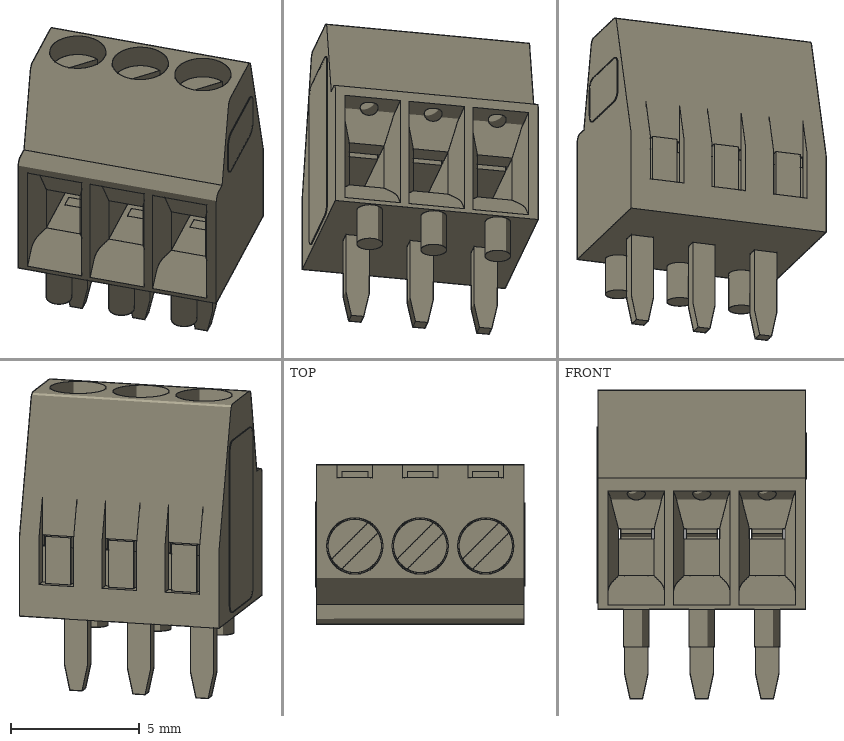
import cadquery as cq
import math


pole_count = 3
pitch = 2.55
pole_positions = [(i - (pole_count - 1) / 2) * pitch for i in range(pole_count)]

housing_width = 8.06
housing_depth = 6.2
housing_height = 8.52
shelf_height = 5.1
shelf_depth = 0.77
back_wall_height = 3.12
crown_front = 1.65
crown_back = 4.45
edge_radius = 0.3

panel_thickness = 0.04
panel_corner = 0.4
left_panel_depth = 3.29
left_panel_bottom = 0.24
left_panel_top = 7.08
right_panel_depth = 3.22
right_panel_bottom = 5.06
right_panel_top = 6.85

entry_width = 2.2
entry_bottom = 0.17
entry_top = 4.6
channel_width = 1.38
channel_floor = 1.31
channel_ceiling = 3.13
channel_start = channel_floor - entry_bottom
ceiling_lean = 0.38
ceiling_radius = 0.48
flank_radius = 0.6

bump_radius = 0.41
bump_sink = 0.2

screw_y = 3.05
screw_hole_diameter = 2.18
screw_diameter = 2.08
screw_recess = 0.84
screw_slot_width = 0.55
screw_slot_depth = 0.6
screw_slot_angle = 45

leaf_width = 1.21
tail_width = 1.01
leaf_thickness = 0.24
leaf_underside = 2.94
bend_web = 0.06
sill_height = 2.74
notch_width = 1.39
notch_depth = 0.5

pin_width = 0.92
pin_tip_width = 0.49
pin_thickness = 0.53
pin_y = housing_depth / 2
pin_length = 3.48
pin_taper_start = 2.48
peg_diameter = 1.0
peg_length = 1.45
peg_y = 0.58

leaf_top = leaf_underside + leaf_thickness
leaf_front = screw_y - screw_hole_diameter / 2
channel_end = screw_y + screw_hole_diameter / 2
notch_face = housing_depth - notch_depth
bend_radius = leaf_underside - sill_height
bend_start = notch_face - bend_web - bend_radius


def block(width, y_range, z_range):
    """Box centred on X = 0, spanning the given Y and Z ranges."""
    (y0, y1), (z0, z1) = y_range, z_range
    return cq.Workplane("XY").box(width, y1 - y0, z1 - z0, centered=(True, False, False)).translate((0, y0, z0))


def side_profile(points, width):
    """Outline of (Y, Z) points extruded along X and centred on X = 0."""
    return cq.Workplane("YZ").polyline(points).close().extrude(width / 2, both=True)


def upright_cylinder(diameter, y, z_bottom, z_top):
    return cq.Workplane("XY", origin=(0, y, z_bottom)).circle(diameter / 2).extrude(z_top - z_bottom)


def housing_shell():
    """Solid outer form with rounded crown and shelf edges."""
    shell = side_profile(
        [
            (0, 0),
            (housing_depth, 0),
            (housing_depth, back_wall_height),
            (crown_back, housing_height),
            (crown_front, housing_height),
            (shelf_depth, shelf_height),
            (0, shelf_height),
        ],
        housing_width,
    )
    crown_edges = shell.faces(">Z").edges("|X")
    shelf_edge = shell.faces("<Y").edges(">Z")
    return shell.newObject(crown_edges.vals() + shelf_edge.vals()).fillet(edge_radius)


def label_panel(x_start, depth, z_bottom, z_top):
    """Thin plate with rounded corners that grows in +X from x_start."""
    return (
        cq.Workplane("YZ", origin=(x_start, housing_depth / 2, (z_bottom + z_top) / 2))
        .rect(depth, z_top - z_bottom)
        .extrude(panel_thickness)
        .edges("|X")
        .fillet(panel_corner)
    )


def entry_bump():
    """Ball sunk into the middle of the rounded ceiling of a wire entry."""
    lean_angle = math.atan2(ceiling_lean, entry_top - channel_ceiling)
    turn_angle = math.pi / 2 - lean_angle
    round_y = channel_start - ceiling_lean - ceiling_radius * math.tan(turn_angle / 2)
    round_z = entry_top - ceiling_radius
    reach = ceiling_radius + bump_sink
    ball_y = round_y + reach * math.sin(turn_angle / 2)
    ball_z = round_z + reach * math.cos(turn_angle / 2)
    return cq.Workplane("XY", origin=(0, ball_y, ball_z)).sphere(bump_radius)


def wire_entry():
    """Funnel and wire channel: a side outline crossed with a plan outline."""
    side = side_profile(
        [
            (0, entry_bottom),
            (channel_start, channel_floor),
            (channel_end, channel_floor),
            (channel_end, channel_ceiling),
            (channel_start, channel_ceiling),
            (channel_start - ceiling_lean, entry_top),
            (0, entry_top),
        ],
        entry_width,
    )
    side = side.faces(">Z").edges(">Y").fillet(ceiling_radius)

    half_entry = entry_width / 2
    half_channel = channel_width / 2
    flank_start = channel_start - (half_entry - half_channel)
    plan = (
        cq.Workplane("XY")
        .polyline(
            [
                (-half_entry, 0),
                (half_entry, 0),
                (half_entry, flank_start),
                (half_channel, channel_start),
                (half_channel, channel_end),
                (-half_channel, channel_end),
                (-half_channel, channel_start),
                (-half_entry, flank_start),
            ]
        )
        .close()
        .extrude(entry_top)
    )
    flank_corners = cq.selectors.BoxSelector(
        (-entry_width, flank_start - flank_radius / 2, 0),
        (entry_width, flank_start + flank_radius / 2, entry_top),
    )
    plan = plan.edges("|Z").edges(flank_corners).fillet(flank_radius)
    return side.intersect(plan).cut(entry_bump())


def pole_cavity():
    """Everything removed from the housing for one pole at X = 0."""
    screw_hole = upright_cylinder(screw_hole_diameter, screw_y, leaf_top, housing_height)
    leaf_slot = block(channel_width, (leaf_front, notch_face), (sill_height, leaf_top))
    notch = block(notch_width, (notch_face, housing_depth), (channel_floor, housing_height))
    pin_hole = block(
        pin_width,
        (pin_y - pin_thickness / 2, pin_y + pin_thickness / 2),
        (0, channel_floor),
    )
    return wire_entry().union(screw_hole).union(leaf_slot).union(notch).union(pin_hole)


def make_housing():
    housing = housing_shell()
    half_width = housing_width / 2
    housing = housing.union(
        label_panel(-half_width - panel_thickness, left_panel_depth, left_panel_bottom, left_panel_top)
    )
    housing = housing.union(label_panel(half_width, right_panel_depth, right_panel_bottom, right_panel_top))
    cavity = pole_cavity()
    peg = upright_cylinder(peg_diameter, peg_y, -peg_length, 0)
    for x in pole_positions:
        housing = housing.cut(cavity.translate((x, 0, 0)))
        housing = housing.union(peg.translate((x, 0, 0)))
    return housing


def make_screw(x):
    """Cylindrical screw with a straight driver slot across its head."""
    head_top = housing_height - screw_recess
    screw = upright_cylinder(screw_diameter, screw_y, leaf_top, head_top)
    driver_slot = (
        cq.Workplane("XY")
        .box(2 * screw_diameter, screw_slot_width, 2 * screw_slot_depth)
        .rotate((0, 0, 0), (0, 0, 1), screw_slot_angle)
        .translate((0, screw_y, head_top))
    )
    return screw.cut(driver_slot).translate((x, 0, 0))


def make_leaf(x):
    """Flat leaf under the screw whose narrower tail hooks down over the sill."""
    leaf = block(leaf_width, (leaf_front, notch_face), (leaf_underside, leaf_top))
    bend = block(leaf_width, (bend_start, notch_face), (sill_height, leaf_underside))
    bend_hollow = (
        cq.Workplane("YZ", origin=(-leaf_width / 2, bend_start, sill_height))
        .circle(bend_radius)
        .extrude(leaf_width)
    )
    tail = block(tail_width, (notch_face, notch_face + leaf_thickness), (channel_floor, leaf_top))
    return leaf.union(bend.cut(bend_hollow)).union(tail).translate((x, 0, 0))


def make_pin(x):
    """Flat solder pin with a tapered tip."""
    half_width = pin_width / 2
    half_tip = pin_tip_width / 2
    return (
        cq.Workplane("XZ", origin=(x, pin_y, 0))
        .polyline(
            [
                (-half_width, channel_floor),
                (half_width, channel_floor),
                (half_width, -pin_taper_start),
                (half_tip, -pin_length),
                (-half_tip, -pin_length),
                (-half_width, -pin_taper_start),
            ]
        )
        .close()
        .extrude(pin_thickness / 2, both=True)
    )


housing = make_housing()
screws = [make_screw(x) for x in pole_positions]
leaves = [make_leaf(x) for x in pole_positions]
pins = [make_pin(x) for x in pole_positions]

bodies = [housing, *screws, *leaves, *pins]
result = cq.Compound.makeCompound([body.solids().val() for body in bodies])